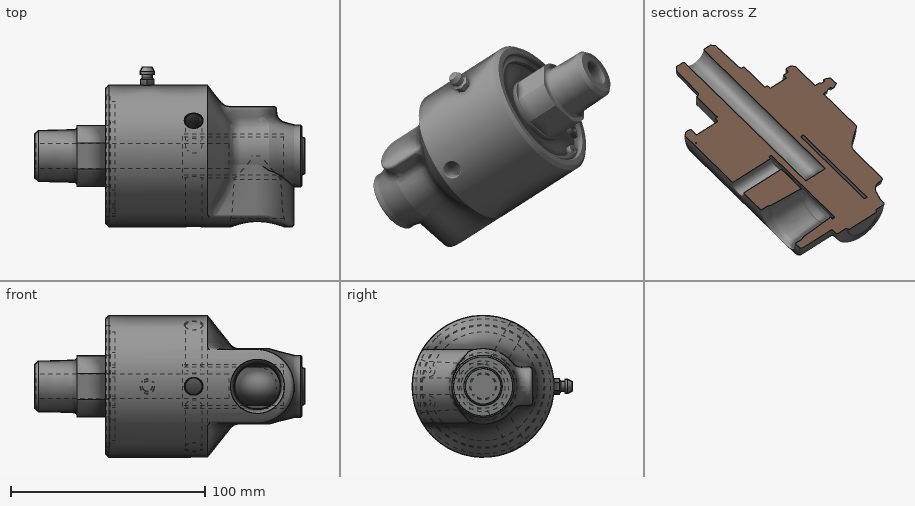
import cadquery as cq
import math


thread_face_dia = 22.63
thread_tip_dia = 26.2
thread_root_dia = 27.18
thread_chamfer_end = 2.0
shoulder_x = 21.8
shoulder_fillet = 1.5
shaft_dia = 34.2
shaft_across_flats = 31.5
collar_dia = 34.8
collar_x = 39.0
shaft_bore_dia = 12.7
shaft_bore_depth = 100.0
shaft_bore_chamfer = 0.6

body_dia = 73.0
body_face_x = 36.4
body_chamfer = 1.8
cone_start_x = 88.8
cone_angle = 51.7
neck_dia = 38.8
neck_end_x = 120.7
tail_dia = 32.0
tail_x = 133.6
tail_end_x = 137.5
tail_chamfer = 0.8
end_x = 139.0
root_fillet = 5.5

recess_dia = 62.5
recess_chamfer = 0.5
plate_x = 41.3
ring_thickness = 2.5
ring_inner_dia = 56.0
lug_radius = 3.5
lug_y = -28.2
lug_z = 8.35
lug_hole_dia = 2.79
ring_gap_start = 20.0

port_x = 114.6
port_boss_width = 37.7
port_boss_rim_fillet = 1.7
boss_overlap = 8.0
back_boss_width = 19.8
back_boss_y = 25.4
back_boss_rim_fillet = 1.5
port_mouth_dia = 27.8
port_mouth_y = -32.2
port_chamfer_depth = 2.1
port_thread_dia = 26.2
port_thread_depth = 18.0
port_thread_end_dia = 24.0
port_bore_dia = 23.3

spindle_dia = 19.7
spindle_tip_dia = 18.2
chamber_dia = 22.6
chamber_start_x = 76.0
chamber_end_x = 128.0

hole_x = 81.8
hole_dia = 8.6
hole_mouth_dia = 9.7
hole_count = 3

nipple_x = 57.9
nipple_across_flats = 7.1
nipple_root_depth = 1.0
nipple_hex_top = 39.3
nipple_neck_start = 40.05
nipple_neck_dia = 5.36
nipple_rim_start = 42.0
nipple_rim_end = 43.45
nipple_rim_dia = 7.4
nipple_tip_dia = 4.9
nipple_tip_y = 45.88

body_radius = body_dia / 2
neck_radius = neck_dia / 2
cone_end_x = cone_start_x + (body_radius - neck_radius) / math.tan(math.radians(cone_angle))
boss_start_x = cone_start_x - boss_overlap
back_boss_end_x = port_x + back_boss_width / 2
position_tolerance = 0.1


def revolve_x(points):
    """Turn an (x, radius) outline about the X axis."""
    return cq.Workplane("XY").polyline(points).close().revolve(360, (0, 0, 0), (1, 0, 0))


def revolve_y(points, x):
    """Turn a (radius, y) outline about the line along Y at the given x."""
    outline = cq.Workplane("XY").polyline(points).close()
    return outline.revolve(360, (0, 0, 0), (0, 1, 0)).translate((x, 0, 0))


def disc_x(dia, start, end):
    """Cylinder on the X axis."""
    return cq.Workplane("YZ", origin=(start, 0, 0)).circle(dia / 2).extrude(end - start)


def make_boss(width, length):
    """Boss with a round end about the port axis; a positive length runs towards -Y."""
    inboard_length = port_x - boss_start_x
    bar = cq.Workplane("XZ").center(port_x - inboard_length / 2, 0).rect(inboard_length, width).extrude(length)
    return cq.Workplane("XZ").center(port_x, 0).circle(width / 2).extrude(length).union(bar)


def make_housing():
    """Body, cone, neck and tail with the two side bosses blended in."""
    housing = revolve_x([
        (body_face_x, 0),
        (body_face_x, body_radius - body_chamfer),
        (body_face_x + body_chamfer, body_radius),
        (cone_start_x, body_radius),
        (cone_end_x, neck_radius),
        (neck_end_x, neck_radius),
        (tail_x, tail_dia / 2),
        (tail_end_x - tail_chamfer, tail_dia / 2),
        (tail_end_x, tail_dia / 2 - tail_chamfer),
        (tail_end_x, 0),
    ])
    body_envelope = disc_x(body_dia, body_face_x, end_x)
    port_boss = make_boss(port_boss_width, body_radius).intersect(body_envelope)
    back_boss = make_boss(back_boss_width, -back_boss_y)
    return housing.union(port_boss).union(back_boss)


def is_port_boss_rim(edge):
    """Edges where the port boss meets the body cylinder."""
    center = edge.Center()
    rim_y = -math.sqrt(body_radius**2 - (port_boss_width / 2) ** 2)
    return center.x > cone_start_x + position_tolerance and center.y < rim_y + position_tolerance


def is_blended_root(edge):
    """Edges where the cone, neck and bosses run into each other."""
    center = edge.Center()
    root_y = math.sqrt(neck_radius**2 - (back_boss_width / 2) ** 2)
    past_cone_start = center.x > cone_start_x + position_tolerance
    before_cone_end = center.x < cone_end_x + position_tolerance
    on_cone = past_cone_start and before_cone_end and edge.geomType() != "LINE"
    beside_back_boss = cone_end_x < center.x < back_boss_end_x
    on_back_boss_root = beside_back_boss and root_y - position_tolerance < center.y < neck_radius
    return on_cone or on_back_boss_root


def is_back_boss_rim(edge):
    """Edges around the flat top of the back boss."""
    center = edge.Center()
    return center.x > cone_end_x and center.y > back_boss_y - position_tolerance


def fillet_where(shape, test, radius):
    """Fillet every edge that passes the test."""
    edges = [edge for edge in shape.edges().vals() if test(edge)]
    return shape.newObject(edges).fillet(radius)


def blend_housing(housing):
    """Round the boss rims and blend the bosses and neck into the cone."""
    housing = fillet_where(housing, is_port_boss_rim, port_boss_rim_fillet)
    housing = fillet_where(housing, is_back_boss_rim, back_boss_rim_fillet)
    return fillet_where(housing, is_blended_root, root_fillet)


def make_shaft():
    """Tapered thread body, filleted shoulder, four flats and a collar behind them."""
    shoulder_radius = thread_root_dia / 2 + shoulder_fillet
    corner = math.sqrt(0.5)
    shaft = (
        cq.Workplane("XY")
        .moveTo(0, 0)
        .lineTo(0, thread_face_dia / 2)
        .lineTo(thread_chamfer_end, thread_tip_dia / 2)
        .lineTo(shoulder_x - shoulder_fillet, thread_root_dia / 2)
        .threePointArc(
            (shoulder_x - shoulder_fillet * (1 - corner), shoulder_radius - shoulder_fillet * corner),
            (shoulder_x, shoulder_radius),
        )
        .lineTo(shoulder_x, shaft_dia / 2)
        .lineTo(collar_x, shaft_dia / 2)
        .lineTo(collar_x, 0)
        .close()
        .revolve(360, (0, 0, 0), (1, 0, 0))
    )
    flats = cq.Workplane("YZ").rect(shaft_across_flats, shaft_across_flats).extrude(collar_x)
    return shaft.intersect(flats).union(disc_x(collar_dia, collar_x, plate_x))


def make_shaft_bore():
    """Axial bore of the shaft, chamfered at its mouth."""
    radius = shaft_bore_dia / 2
    return revolve_x([
        (0, 0),
        (0, radius + shaft_bore_chamfer),
        (shaft_bore_chamfer, radius),
        (shaft_bore_depth, radius),
        (shaft_bore_depth, 0),
    ])


def make_recess():
    """Round recess in the front face, down to the plate."""
    radius = recess_dia / 2
    return revolve_x([
        (body_face_x, 0),
        (body_face_x, radius + recess_chamfer),
        (body_face_x + recess_chamfer, radius),
        (plate_x, radius),
        (plate_x, 0),
    ])


def make_retaining_ring():
    """Open ring against the plate, with a holed lug at each side of its gap."""
    front_x = plate_x - ring_thickness
    outer_disc = disc_x(recess_dia, front_x, plate_x)
    gap = cq.Workplane("XY").box(ring_thickness, body_radius, 2 * lug_z).translate(
        (front_x + ring_thickness / 2, -body_radius / 2 - ring_gap_start, 0)
    )
    ring = outer_disc.cut(disc_x(ring_inner_dia, front_x, plate_x)).cut(gap)
    plane = cq.Workplane("YZ", origin=(front_x, 0, 0))
    for side in (-1, 1):
        round_end = plane.center(lug_y, side * lug_z).circle(lug_radius).extrude(ring_thickness)
        lug_bar = (
            plane.center(lug_y - lug_radius, side * lug_z)
            .rect(2 * lug_radius, 2 * lug_radius)
            .extrude(ring_thickness)
        )
        hole = plane.center(lug_y, side * lug_z).circle(lug_hole_dia / 2).extrude(ring_thickness)
        ring = ring.union(round_end.union(lug_bar).intersect(outer_disc)).cut(hole)
    return ring


def make_port():
    """Side port: stepped mouth, chamfer, tapered thread, then a plain bore to the main axis."""
    thread_start_y = port_mouth_y + port_chamfer_depth
    thread_end_y = thread_start_y + port_thread_depth
    outline = [
        (0, -body_radius),
        (port_mouth_dia / 2, -body_radius),
        (port_mouth_dia / 2, port_mouth_y),
        (port_thread_dia / 2, thread_start_y),
        (port_thread_end_dia / 2, thread_end_y),
        (port_bore_dia / 2, thread_end_y),
        (port_bore_dia / 2, 0),
        (0, 0),
    ]
    return revolve_y(outline, port_x)


def make_spindle():
    """Inner spindle through the chamber, with its tapered tip standing out of the tail."""
    return revolve_x([
        (chamber_start_x, 0),
        (chamber_start_x, spindle_dia / 2),
        (tail_end_x, spindle_dia / 2),
        (end_x, spindle_tip_dia / 2),
        (end_x, 0),
    ])


def make_radial_hole():
    """Hole from the -Y side of the body to the spindle, with a countersunk mouth."""
    sink = (hole_mouth_dia - hole_dia) / 2
    outline = [
        (0, -body_radius),
        (hole_mouth_dia / 2, -body_radius),
        (hole_dia / 2, -body_radius + sink),
        (hole_dia / 2, -spindle_dia / 2),
        (0, -spindle_dia / 2),
    ]
    return revolve_y(outline, hole_x)


def make_grease_nipple():
    """Hexagon foot, cone, neck and rimmed head, standing out towards +Y."""
    hex_root_y = body_radius - nipple_root_depth
    hexagon = (
        cq.Workplane("XZ", origin=(0, hex_root_y, 0))
        .polygon(6, nipple_across_flats / math.cos(math.pi / 6))
        .extrude(hex_root_y - nipple_hex_top)
        .rotate((0, 0, 0), (0, 1, 0), 30)
        .translate((nipple_x, 0, 0))
    )
    outline = [
        (0, hex_root_y),
        (nipple_across_flats / 2, hex_root_y),
        (nipple_across_flats / 2, nipple_hex_top),
        (nipple_neck_dia / 2, nipple_neck_start),
        (nipple_neck_dia / 2, nipple_rim_start),
        (nipple_rim_dia / 2, nipple_rim_start),
        (nipple_rim_dia / 2, nipple_rim_end),
        (nipple_tip_dia / 2, nipple_tip_y),
        (0, nipple_tip_y),
    ]
    return hexagon.union(revolve_y(outline, nipple_x))


part = blend_housing(make_housing())
part = part.cut(make_recess()).union(make_retaining_ring()).union(make_shaft())
part = part.cut(disc_x(chamber_dia, chamber_start_x, chamber_end_x)).cut(make_port())
for index in range(hole_count):
    part = part.cut(make_radial_hole().rotate((0, 0, 0), (1, 0, 0), index * 360 / hole_count))
part = part.union(make_spindle()).cut(make_shaft_bore())
result = part.union(make_grease_nipple())